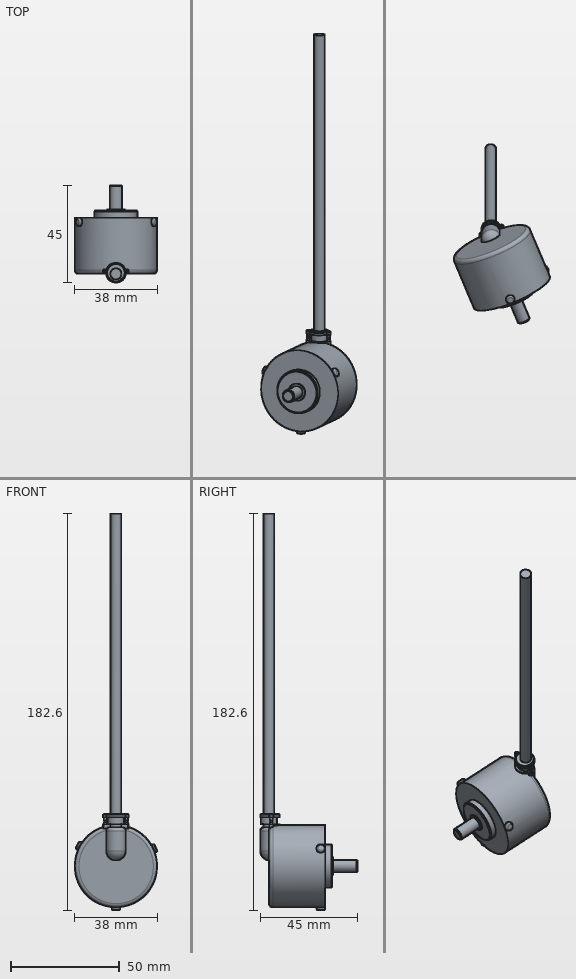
import cadquery as cq


drum_radius = 19.0
drum_length = 26.0
rear_y = -drum_length
rear_edge_fillet = 1.8
pilot_radius = 10.0
pilot_height = 3.3
pilot_chamfer = 0.5

shaft_radius = 3.0
shaft_tip_y = 15.0
shaft_tip_chamfer = 0.5
shoulder_radius = 4.0
shoulder_height = 0.5

lug_angles = (0, 119, 245)
lug_radius = 2.0
lug_tip_radius = 20.3
lug_edge_fillet = 0.7

overall_height = 182.6
cable_radius = 2.5
cable_top_z = overall_height - lug_tip_radius
cable_y = rear_y

elbow_radius = 4.5
elbow_projection = 4.0
elbow_y = rear_y - elbow_projection + elbow_radius
elbow_top_z = 17.9
elbow_sphere_z = 7.1
elbow_top_fillet = 1.6

clamp_hub_radius = elbow_radius
clamp_hub_y = elbow_y
clamp_ear_radius = 1.1
clamp_ear_x = 5.0
clamp_ear_setback = 1.1
clamp_ear_y = rear_y + clamp_ear_setback
seat_bottom_z = drum_radius - 2 * rear_edge_fillet
seat_top_z = 19.4
seat_wall_setback = 0.2
seat_wall_y = rear_y + seat_wall_setback
ring_radius = 3.8
plate_bottom_z = 22.5
plate_top_z = 24.1
plate_chamfer = 0.5
post_radius = 0.7
post_waist_radius = 0.5
post_waist_bottom_z = 20.3
post_waist_top_z = 21.2


def cylinder_z(x, y, radius, bottom_z, top_z):
    """Upright cylinder between two heights."""
    return cq.Workplane("XY", origin=(x, y, bottom_z)).circle(radius).extrude(top_z - bottom_z)


def chamfered_disc(x, y, radius, bottom_z, top_z, chamfer):
    """Upright cylinder whose top edge may be chamfered."""
    disc = cylinder_z(x, y, radius, bottom_z, top_z)
    if chamfer > 0:
        disc = disc.faces(">Z").edges().chamfer(chamfer)
    return disc


def turned(points):
    """Solid turned about the Y axis from (radius, y) points; the profile is drawn on the +Z side."""
    profile = [(y, radius) for radius, y in points]
    return cq.Workplane("YZ").polyline(profile).close().revolve(360, (0, 0), (1, 0))


def make_drum():
    """Drum with the chamfered pilot boss at its front and a rounded rear edge."""
    drum = turned([
        (0, rear_y),
        (drum_radius, rear_y),
        (drum_radius, 0),
        (pilot_radius, 0),
        (pilot_radius, pilot_height - pilot_chamfer),
        (pilot_radius - pilot_chamfer, pilot_height),
        (0, pilot_height),
    ])
    return drum.faces("<Y").edges().fillet(rear_edge_fillet)


def make_lug(angle):
    """Radial lug with a rounded tip; an angle of zero points down."""
    lug = cylinder_z(0, -lug_radius, lug_radius, -lug_tip_radius, -pilot_radius)
    lug = lug.faces("<Z").edges().fillet(lug_edge_fillet)
    return lug.rotate((0, 0, 0), (0, 1, 0), angle)


def make_elbow():
    """Upright bulge that ends in a half sphere below."""
    barrel = cylinder_z(0, elbow_y, elbow_radius, elbow_sphere_z, elbow_top_z)
    barrel = barrel.faces(">Z").edges().fillet(elbow_top_fillet)
    return barrel.union(cq.Workplane("XY", origin=(0, elbow_y, elbow_sphere_z)).sphere(elbow_radius))


def make_clamp_layer(bottom_z, top_z, chamfer=0):
    """Round hub with a small round ear on either side; the chamfer runs round the top."""
    layer = chamfered_disc(0, clamp_hub_y, clamp_hub_radius, bottom_z, top_z, chamfer)
    for ear_x in (-clamp_ear_x, clamp_ear_x):
        ear = chamfered_disc(ear_x, clamp_ear_y, clamp_ear_radius, bottom_z, top_z, chamfer)
        layer = layer.union(ear)
    return layer


def make_clamp_seat():
    """Eared seat that stands on the drum and is cut off flat just short of the rear face."""
    seat = make_clamp_layer(seat_bottom_z, seat_top_z)
    wall_plane = cq.Workplane("XZ", origin=(0, seat_wall_y, 0))
    space_behind_wall = wall_plane.circle(overall_height).extrude(drum_length)
    return seat.cut(space_behind_wall)


def make_post(x):
    """Waisted post between the seat and the plate."""
    post = cylinder_z(x, clamp_ear_y, post_waist_radius, seat_top_z, plate_bottom_z)
    post = post.union(cylinder_z(x, clamp_ear_y, post_radius, seat_top_z, post_waist_bottom_z))
    return post.union(cylinder_z(x, clamp_ear_y, post_radius, post_waist_top_z, plate_bottom_z))


def make_clamp():
    """Gland ring, chamfered plate and the two posts that tie the plate to the seat."""
    plate = make_clamp_layer(plate_bottom_z, plate_top_z, plate_chamfer)
    clamp = plate.union(cylinder_z(0, cable_y, ring_radius, seat_top_z, plate_bottom_z))
    for post_x in (-clamp_ear_x, clamp_ear_x):
        clamp = clamp.union(make_post(post_x))
    return clamp


def make_cable():
    """Straight cable that stands on the elbow."""
    return cylinder_z(0, cable_y, cable_radius, elbow_top_z, cable_top_z)


def make_housing():
    """Drum with its lugs, cable clamp and elbow, bored for the cable."""
    housing = make_drum()
    for angle in lug_angles:
        housing = housing.union(make_lug(angle))
    housing = housing.union(make_clamp_seat()).union(make_clamp())
    housing = housing.cut(make_cable())
    return housing.union(make_elbow())


def make_shaft():
    """Shaft whose shoulder bears on the pilot boss."""
    shoulder_y = pilot_height + shoulder_height
    return turned([
        (0, pilot_height),
        (shoulder_radius, pilot_height),
        (shoulder_radius, shoulder_y),
        (shaft_radius, shoulder_y),
        (shaft_radius, shaft_tip_y - shaft_tip_chamfer),
        (shaft_radius - shaft_tip_chamfer, shaft_tip_y),
        (0, shaft_tip_y),
    ])


housing = make_housing()
shaft = make_shaft()
cable = make_cable()
result = cq.Compound.makeCompound([*housing.solids().vals(), shaft.val(), cable.val()])